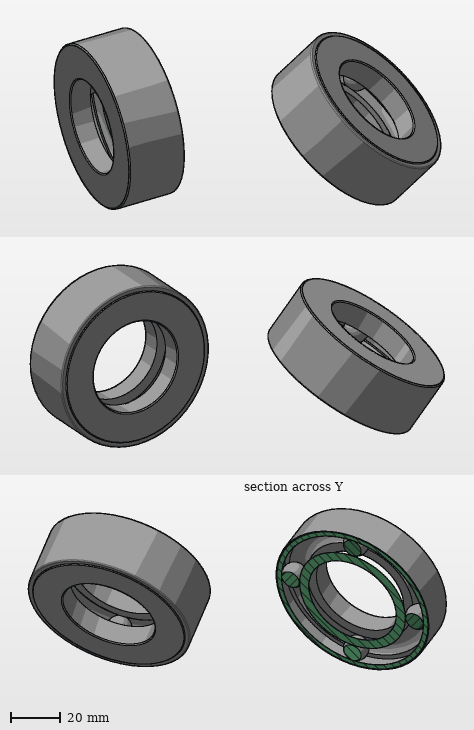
import cadquery as cq


outer_diameter = 69.85
bore_diameter = 39.69
overall_width = 25.4
front_face = -overall_width / 2
rear_face = overall_width / 2

cup_inner_diameter = 68.48
cup_edge_break = 0.51
rear_boss_diameter = 65.79
rear_boss_height = 0.4
rear_boss_chamfer = 0.4
rear_race_width = 9.45
rear_shoulder = rear_face - rear_boss_height
rear_race_face = rear_face - rear_race_width

front_race_width = 9.3
front_race_face = front_face + front_race_width

bore_chamfer = 0.49

ball_count = 4
ball_radius = 5.25
ball_pitch_radius = 28.2
ball_plane = (front_race_face + rear_race_face) / 2

outer_radius = outer_diameter / 2
cup_inner_radius = cup_inner_diameter / 2
bore_radius = bore_diameter / 2
rear_boss_radius = rear_boss_diameter / 2


def revolve_about_axis(profile):
    return profile.close().revolve(360, (0, 0, 0), (0, 1, 0))


def make_raceway():
    """Ring of circular section that the balls roll along."""
    to_axis = -ball_pitch_radius
    return (
        cq.Workplane("XY")
        .center(ball_pitch_radius, ball_plane)
        .circle(ball_radius)
        .revolve(360, (to_axis, 0, 0), (to_axis, 1, 0))
    )


def make_cup():
    """Outer sleeve and rear race in one piece, with a low boss on the rear."""
    blank = revolve_about_axis(
        cq.Workplane("XY")
        .moveTo(cup_inner_radius, front_face)
        .lineTo(outer_radius - cup_edge_break, front_face)
        .lineTo(outer_radius, front_face + cup_edge_break)
        .lineTo(outer_radius, rear_shoulder - cup_edge_break)
        .radiusArc((outer_radius - cup_edge_break, rear_shoulder), -cup_edge_break)
        .lineTo(rear_boss_radius, rear_shoulder)
        .lineTo(rear_boss_radius - rear_boss_chamfer, rear_face)
        .lineTo(bore_radius + bore_chamfer, rear_face)
        .lineTo(bore_radius, rear_face - bore_chamfer)
        .lineTo(bore_radius, rear_race_face)
        .lineTo(cup_inner_radius, rear_race_face)
    )
    return blank.cut(make_raceway())


def make_front_race():
    """Flat ring that fits inside the cup, flush with its front rim."""
    blank = revolve_about_axis(
        cq.Workplane("XY")
        .moveTo(bore_radius + bore_chamfer, front_face)
        .lineTo(cup_inner_radius, front_face)
        .lineTo(cup_inner_radius, front_race_face)
        .lineTo(bore_radius, front_race_face)
        .lineTo(bore_radius, front_face + bore_chamfer)
    )
    return blank.cut(make_raceway())


def make_ball(angle):
    ball = cq.Workplane("XY").sphere(ball_radius)
    return ball.translate((ball_pitch_radius, ball_plane, 0)).rotate((0, 0, 0), (0, 1, 0), angle)


cup = make_cup()
front_race = make_front_race()
balls = [make_ball(index * 360 / ball_count) for index in range(ball_count)]

result = cq.Compound.makeCompound([cup.val(), front_race.val(), *[ball.val() for ball in balls]])